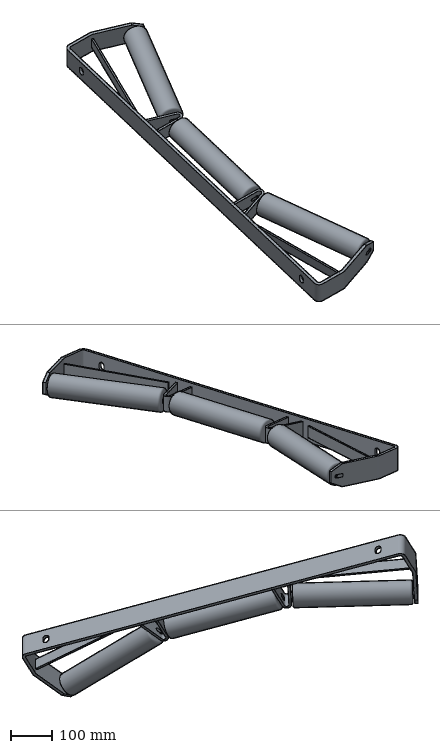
import cadquery as cq
import math

overall_width = 1000.0
overall_depth = 205.35
frame_height = 60.0
tilt = 20.0

frame_thickness = 8.0
corner_radius = 10.0
arm_bend_radius = 14.0
arm_bend_depth = 79.5
tip_chamfer_length = 31.0
tip_chamfer_height = 15.0
mount_slot_x = 434.0
mount_slot_width = 15.0
mount_slot_height = 22.0

roller_diameter = 60.0
roller_length = 290.0
roller_edge_radius = 5.0
roller_end_gap = 4.0
center_roller_depth = 72.0
axle_diameter = 17.0
axle_flats = 9.0
axle_slot_travel = 5.0
axle_to_tip = 25.0

bracket_thickness = 6.0
bracket_height = 40.0
bracket_bend_radius = 8.6

strut_thickness = 5.0
strut_height = 30.0
strut_angle = 14.2
strut_end_x = 221.0

sin_tilt = math.sin(math.radians(tilt))
cos_tilt = math.cos(math.radians(tilt))
along_arm = cq.Vector(sin_tilt, cos_tilt)
along_roller = cq.Vector(cos_tilt, -sin_tilt)

half_frame = frame_thickness / 2
half_bracket = bracket_thickness / 2
half_bay = roller_length / 2 + roller_end_gap

side_x = -overall_width / 2 + half_frame
base_corner = cq.Vector(side_x, half_frame)
arm_bend = cq.Vector(side_x, arm_bend_depth - half_frame * math.tan(math.radians(tilt / 2)))
arm_length = (overall_depth - half_frame * sin_tilt - arm_bend.y) / cos_tilt
arm_tip = arm_bend + along_arm * arm_length

arm_axle = arm_tip - along_arm * axle_to_tip
side_roller_center = arm_axle + along_roller * (half_frame + half_bay)
bracket_axle = side_roller_center + along_roller * (half_bay + half_bracket)
center_roller_center = cq.Vector(0, center_roller_depth)
bracket_center_axle = cq.Vector(-half_bay - half_bracket, center_roller_depth)


def bent_strip(corners, radii, thickness, height):
    """Flat strip on edge that follows the corners and is bent round each inner one."""
    path = cq.Wire.makePolygon(corners)
    for corner, radius in zip(corners[1:-1], radii):
        bend = min(path.Vertices(), key=lambda vertex: (vertex.Center() - corner).Length)
        path = path.fillet2D(radius, [bend])
    start = cq.Plane(origin=corners[0], xDir=(0, 0, 1), normal=corners[1] - corners[0])
    return cq.Workplane(start).rect(height, thickness).sweep(cq.Workplane(path))


def mirrored(body):
    return body.mirror("YZ")


def centered_rod(diameter, length):
    """Round rod along X, centred on the origin."""
    return cq.Workplane("YZ", origin=(-length / 2, 0, 0)).circle(diameter / 2).extrude(length)


def axle_slot(center, turn, depth, travel):
    """Round-ended axle tongue, lengthened by the travel, through the thickness of a strip."""
    length = axle_diameter + travel
    return (
        cq.Workplane("YZ", origin=(-depth / 2, travel / 2, 0))
        .slot2D(length, axle_flats)
        .extrude(depth)
        .rotate((0, 0, 0), (0, 0, 1), turn)
        .translate(center)
    )


def tip_corner_cut(side):
    """Wedge that takes off the upper (+1) or lower (-1) corner of the left arm's tip."""
    arm_face = cq.Plane(origin=arm_tip, xDir=along_arm, normal=along_roller)
    edge = side * frame_height / 2
    return (
        cq.Workplane(arm_face)
        .moveTo(-tip_chamfer_length, edge)
        .lineTo(0, edge)
        .lineTo(0, edge - side * tip_chamfer_height)
        .close()
        .extrude(frame_thickness, both=True)
    )


def make_frame():
    left_half = [arm_tip, arm_bend, base_corner]
    right_half = [cq.Vector(-p.x, p.y) for p in reversed(left_half)]
    radii = [arm_bend_radius, corner_radius, corner_radius, arm_bend_radius]
    frame = bent_strip(left_half + right_half, radii, frame_thickness, frame_height)
    arm_cuts = [tip_corner_cut(1), tip_corner_cut(-1)]
    arm_cuts.append(axle_slot(arm_axle, -tilt, frame_thickness, axle_slot_travel))
    for cut in arm_cuts:
        frame = frame.cut(cut).cut(mirrored(cut))
    mount_slots = (
        cq.Workplane("XZ")
        .pushPoints([(-mount_slot_x, 0), (mount_slot_x, 0)])
        .slot2D(mount_slot_height, mount_slot_width, 90)
        .extrude(-frame_thickness)
    )
    return frame.cut(mount_slots)


def make_left_bracket():
    upright_foot = cq.Vector(bracket_center_axle.x, 0)
    apex_depth = bracket_axle.y + (upright_foot.x - bracket_axle.x) * cos_tilt / sin_tilt
    apex = cq.Vector(upright_foot.x, apex_depth)
    leaning_foot = bracket_axle - along_arm * (bracket_axle.y / cos_tilt)
    corners = [upright_foot, apex, leaning_foot]
    bracket = bent_strip(corners, [bracket_bend_radius], bracket_thickness, bracket_height)
    base_zone = cq.Workplane("XY").box(overall_width, 2 * frame_thickness, frame_height)
    return (
        bracket.cut(base_zone)
        .cut(axle_slot(bracket_axle, -tilt, bracket_thickness, axle_slot_travel))
        .cut(axle_slot(bracket_center_axle, 0, bracket_thickness, axle_slot_travel))
    )


def make_left_strut(frame):
    """Bar whose square inner end rests on the base and whose outer end is shaped to the arm."""
    foot = cq.Vector(-strut_end_x, frame_thickness)
    length = (foot.x - side_x) / math.cos(math.radians(strut_angle))
    bar = (
        cq.Workplane("XY")
        .box(length, strut_thickness, strut_height)
        .translate((-length / 2, strut_thickness / 2, 0))
        .rotate((0, 0, 0), (0, 0, 1), -strut_angle)
        .translate(foot)
    )
    return bar.cut(frame)


def make_roller(center, turn, left_strip, right_strip):
    """Roller with a through axle whose flatted ends stop flush with the strips' far faces."""
    shell = centered_rod(roller_diameter, roller_length).edges().fillet(roller_edge_radius)
    roller = shell.union(centered_rod(axle_diameter, 2 * half_bay))
    for side, strip in ((-1, left_strip), (1, right_strip)):
        end_center = cq.Vector(side * (half_bay + strip / 2), 0)
        roller = roller.union(axle_slot(end_center, 0, strip, 0))
    return roller.rotate((0, 0, 0), (0, 0, 1), turn).translate(center)


frame = make_frame()
left_bracket = make_left_bracket()
left_strut = make_left_strut(frame)
left_roller = make_roller(side_roller_center, -tilt, frame_thickness, bracket_thickness)
center_roller = make_roller(center_roller_center, 0, bracket_thickness, bracket_thickness)

bodies = [frame.val(), center_roller.val()]
for body in (left_bracket, left_strut, left_roller):
    bodies += [body.val(), mirrored(body).val()]

result = cq.Compound.makeCompound(bodies)